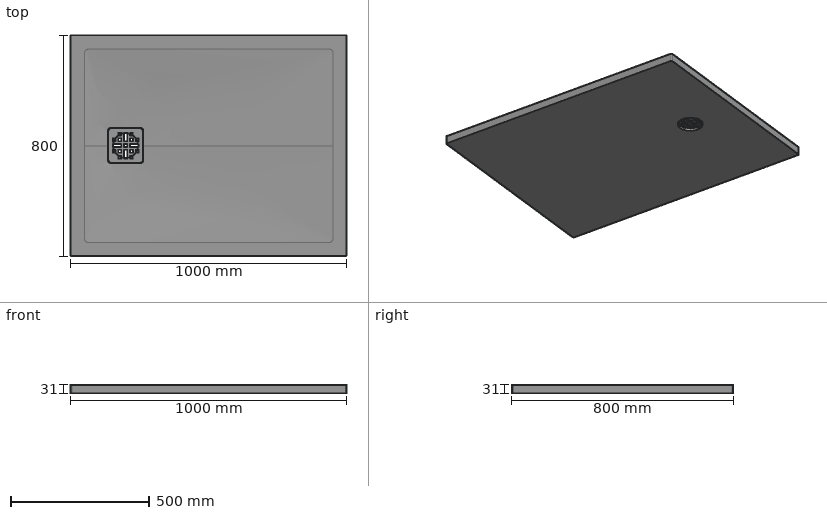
import cadquery as cq
import math

TRAY_LENGTH = 1000.0
TRAY_WIDTH = 800.0
TRAY_HEIGHT = 31.0
TRAY_CORNER_RADIUS = 5.0
RIM_WIDTH = 50.0
BASIN_CORNER_RADIUS = 15.0
BASIN_DEPTH = 15.0

DRAIN_X = -300.0
SEAT_SIDE = 129.0
SEAT_CORNER_RADIUS = 13.0
SEAT_DEPTH = 5.0
OUTLET_DIAMETER = 90.0

GRATE_GAP = 2.0
GRATE_THICKNESS = 3.0
OPENING_SIDE = 10.0
OPENING_PITCH = 21.0

DRAIN_LEVEL = TRAY_HEIGHT - BASIN_DEPTH
SEAT_LEVEL = DRAIN_LEVEL - SEAT_DEPTH
GRATE_SIDE = SEAT_SIDE - 2 * GRATE_GAP
GRATE_CORNER_RADIUS = SEAT_CORNER_RADIUS - GRATE_GAP
SLOT_LENGTH = OPENING_PITCH + OPENING_SIDE
SLOT_OFFSET = 1.5 * OPENING_PITCH


def rounded_rectangle(length, width, radius):
    """Flat outline of a rectangle with rounded corners, centred on the origin."""
    return cq.Sketch().rect(length, width).vertices().fillet(radius)


def rounded_plate(length, width, radius, bottom, height):
    """Upright prism of a rounded rectangle standing on the given level."""
    outline = rounded_rectangle(length, width, radius)
    return cq.Workplane("XY").workplane(offset=bottom).placeSketch(outline).extrude(height)


def half_outline(length, width, radius, centre_x, level):
    """Edges of the +Y half of a rounded rectangle, from its +X side round to its -X side."""
    right = length / 2
    back = width / 2
    corner_offset = radius * (1 - math.sqrt(0.5))
    half = (
        cq.Workplane("XY", origin=(centre_x, 0, level))
        .moveTo(right, 0)
        .lineTo(right, back - radius)
        .threePointArc((right - corner_offset, back - corner_offset), (right - radius, back))
        .lineTo(radius - right, back)
        .threePointArc((corner_offset - right, back - corner_offset), (-right, back - radius))
        .lineTo(-right, 0)
    )
    return half.wire().val().Edges()


def make_basin():
    """Cutter whose underside falls smoothly from the inner edge of the rim to the drain seat."""
    basin_length = TRAY_LENGTH - 2 * RIM_WIDTH
    basin_width = TRAY_WIDTH - 2 * RIM_WIDTH
    rim_edges = half_outline(basin_length, basin_width, BASIN_CORNER_RADIUS, 0, TRAY_HEIGHT)
    seat_edges = half_outline(SEAT_SIDE, SEAT_SIDE, SEAT_CORNER_RADIUS, DRAIN_X, DRAIN_LEVEL)
    valley_lines = [
        cq.Edge.makeLine(
            cq.Vector(side * basin_length / 2, 0, TRAY_HEIGHT),
            cq.Vector(DRAIN_X + side * SEAT_SIDE / 2, 0, DRAIN_LEVEL),
        )
        for side in (-1, 1)
    ]
    floor = cq.Face.makeNSidedSurface(rim_edges + seat_edges + valley_lines, [])
    back_half = cq.Workplane(cq.Solid.extrudeLinear(floor, cq.Vector(0, 0, TRAY_HEIGHT)))
    return back_half, back_half.mirror("XZ")


def make_tray():
    """Slab with the sloping basin, the grate seat and the outlet cut into it."""
    slab = rounded_plate(TRAY_LENGTH, TRAY_WIDTH, TRAY_CORNER_RADIUS, 0, TRAY_HEIGHT)
    seat_height = TRAY_HEIGHT - SEAT_LEVEL
    seat = rounded_plate(SEAT_SIDE, SEAT_SIDE, SEAT_CORNER_RADIUS, SEAT_LEVEL, seat_height)
    outlet = cq.Workplane("XY").circle(OUTLET_DIAMETER / 2).extrude(SEAT_LEVEL)
    drain = seat.union(outlet).translate((DRAIN_X, 0, 0))
    back_basin, front_basin = make_basin()
    return slab.cut(drain).cut(back_basin).cut(front_basin)


def make_openings():
    """Through cutters: a central square, four slots in a cross and three squares per quadrant."""
    near = OPENING_PITCH
    far = 2 * OPENING_PITCH
    squares = [(0, 0)]
    for side_x in (-1, 1):
        for side_y in (-1, 1):
            for x, y in ((near, near), (far, near), (near, far)):
                squares.append((side_x * x, side_y * y))
    slots_along_x = [(-SLOT_OFFSET, 0), (SLOT_OFFSET, 0)]
    slots_along_y = [(0, -SLOT_OFFSET), (0, SLOT_OFFSET)]
    outlines = (
        cq.Sketch()
        .push(squares)
        .rect(OPENING_SIDE, OPENING_SIDE)
        .reset()
        .push(slots_along_x)
        .rect(SLOT_LENGTH, OPENING_SIDE)
        .reset()
        .push(slots_along_y)
        .rect(OPENING_SIDE, SLOT_LENGTH)
    )
    return cq.Workplane("XY").workplane(offset=SEAT_LEVEL).placeSketch(outlines).extrude(GRATE_THICKNESS)


def make_grate():
    """Perforated plate resting on the floor of the seat with an even gap all round."""
    plate = rounded_plate(GRATE_SIDE, GRATE_SIDE, GRATE_CORNER_RADIUS, SEAT_LEVEL, GRATE_THICKNESS)
    return plate.cut(make_openings()).translate((DRAIN_X, 0, 0))


tray = make_tray()
grate = make_grate()
result = cq.Compound.makeCompound([tray.val(), grate.val()])